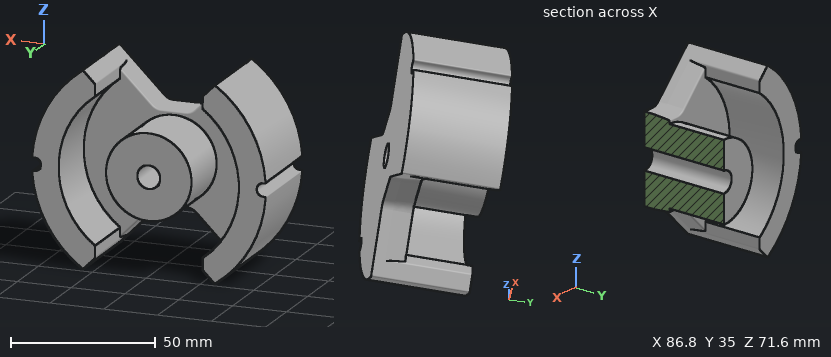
import cadquery as cq
import math

outer_radius = 43.5
height = 35.0
base_thickness = 11.2
inner_radius = 33.5
post_radius = 15.9
bore_radius = 4.25

notch_flat_distance = 17.8
notch_corner_x = 6.3
flank_angle = 45
notch_fillet = 4.5
tip_fillet = 0.6

relief_start = 4.2
relief_draft = 5
relief_rounding = 0.7

gap_half_width = 20.0
gap_edge_radius = 1.0

groove_width = 4.8
groove_depth = 3.4
groove_lip_fillet = 0.5

clearance = 8.7
notch_reach = outer_radius + clearance
flank_run = notch_reach - notch_flat_distance
wedge_offset = notch_flat_distance - notch_corner_x


def both_sides(cutter):
    """Return the cutter together with its copy half a turn around the core axis."""
    return cutter.union(cutter.rotate((0, 0, 0), (0, 0, 1), 180))


def notch(start, length, draft=0):
    """Side opening; a positive draft widens it away from its start plane."""
    far_x = notch_corner_x + flank_run
    outline = [
        (-notch_corner_x, notch_flat_distance),
        (notch_corner_x, notch_flat_distance),
        (far_x, notch_reach),
        (-far_x, notch_reach),
    ]
    straight = cq.Workplane("XY").polyline(outline).close().extrude(length)
    corners = cq.selectors.BoxSelector(
        (-far_x, notch_flat_distance - clearance, -clearance),
        (far_x, notch_flat_distance + clearance, length + clearance),
    )
    rounded = straight.edges("|Z").edges(corners).fillet(notch_fillet)
    profile = rounded.faces("<Z").wires().val()
    drafted = cq.Workplane("XY").add(profile).toPending().extrude(length, taper=-draft)
    return drafted.translate((0, 0, start))


def arm_gap():
    """Straight-walled opening that flares along an arc onto each 45 degree flank."""
    arc_start_z = gap_half_width + wedge_offset - gap_edge_radius * math.tan(math.radians(flank_angle / 2))

    def flare_point(angle):
        turn = math.radians(angle)
        x = gap_half_width + gap_edge_radius * (1 - math.cos(turn))
        return x, arc_start_z + gap_edge_radius * math.sin(turn)

    mid_x, mid_z = flare_point(flank_angle / 2)
    end_x, end_z = flare_point(flank_angle)
    return (
        cq.Workplane("XY")
        .moveTo(-gap_half_width, 0)
        .lineTo(gap_half_width, 0)
        .lineTo(gap_half_width, arc_start_z)
        .threePointArc((mid_x, mid_z), (end_x, end_z))
        .lineTo(end_x, notch_reach)
        .lineTo(-end_x, notch_reach)
        .lineTo(-end_x, end_z)
        .threePointArc((-mid_x, mid_z), (-gap_half_width, arc_start_z))
        .close()
        .extrude(height)
    )


def groove():
    """Round-bottomed groove running the full height of one arm."""
    radius = groove_width / 2
    center_x = outer_radius - groove_depth + radius
    round_bottom = cq.Workplane("XY").center(center_x, 0).circle(radius).extrude(height)
    mouth = cq.Workplane("XY").center(center_x, -radius).rect(clearance, groove_width, centered=False)
    return round_bottom.union(mouth.extrude(height))


body = cq.Workplane("XY").circle(outer_radius).extrude(height)
body = body.cut(both_sides(notch(0, height)))
tip_x = (math.sqrt(2 * outer_radius**2 - wedge_offset**2) - wedge_offset) / 2
tip_z = tip_x + wedge_offset
lip_x = math.sqrt(outer_radius**2 - (groove_width / 2) ** 2)


def round_corners(solid, x, z, radius):
    """Fillet the four lengthwise edges at (+-x, +-z)."""
    for sign_x in (-1, 1):
        for sign_z in (-1, 1):
            edge = cq.selectors.NearestToPointSelector((sign_x * x, sign_z * z, height / 2))
            solid = solid.edges("|Z").edges(edge).fillet(radius)
    return solid


body = round_corners(body, tip_x, tip_z, tip_fillet)
body = body.cut(both_sides(groove()))
body = round_corners(body, lip_x, groove_width / 2, groove_lip_fillet)

relief = notch(relief_start, base_thickness - relief_start, relief_draft)
body = body.cut(both_sides(relief.intersect(arm_gap())))

winding_height = height - base_thickness
floor = cq.Workplane("XY").workplane(offset=base_thickness)
winding = floor.circle(inner_radius).extrude(winding_height)
space_above_floor = floor.rect(2 * notch_reach, 2 * notch_reach).extrude(winding_height)
winding = winding.union(both_sides(arm_gap()).intersect(space_above_floor))
winding = winding.cut(floor.circle(post_radius).extrude(winding_height))
body = body.cut(winding)

relief_depth = (base_thickness - relief_start) * math.tan(math.radians(relief_draft))
edge_z = notch_flat_distance - relief_depth
for side in (-1, 1):
    rim = cq.selectors.NearestToPointSelector((0, side * edge_z, base_thickness))
    body = body.edges(rim).fillet(relief_rounding)

body = body.cut(cq.Workplane("XY").circle(bore_radius).extrude(height))

result = body.rotate((0, 0, 0), (1, 0, 0), -90)